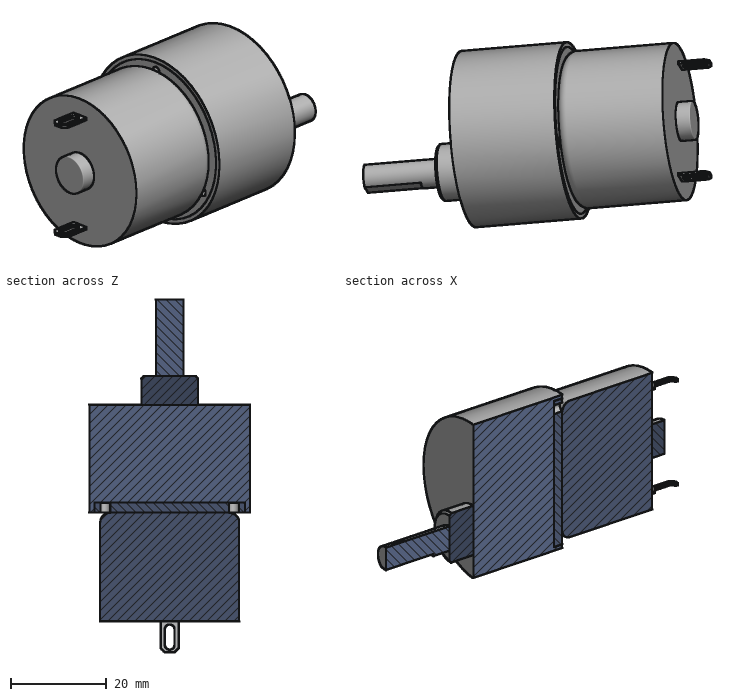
import cadquery as cq
import math


gearbox_diameter = 37.0
gearbox_length = 22.5
cover_diameter = 35.0
cover_thickness = 2.0
cover_hole_diameter = 2.0
cover_hole_circle_diameter = 31.0
cover_hole_count = 3
cover_hole_start_angle = 90.0

shaft_offset = 7.0
boss_diameter = 12.0
boss_length = 6.0
boss_chamfer = 0.5
shaft_diameter = 6.0
shaft_length = 16.0
flat_length = 12.0
flat_depth = 0.5

motor_diameter = 33.0
motor_length = 22.7
motor_fillet = 2.0
cap_diameter = 8.2
cap_length = 3.1
cap_fillet = 0.2

terminal_spacing = 25.0
terminal_width = 3.8
terminal_length = 6.5
terminal_thickness = 0.5
terminal_corner = 0.9
slot_width = 2.0
slot_length = 5.2
slot_inset = 0.7

motor_rear_y = -motor_length
boss_front_y = gearbox_length + boss_length
shaft_front_y = boss_front_y + shaft_length


def cylinder(diameter, start_y, length, center_z=0.0):
    """Solid cylinder along +Y from start_y."""
    plane = cq.Workplane("XZ", origin=(0, start_y, center_z))
    return plane.circle(diameter / 2).extrude(-length)


def make_cover():
    """Disc with a ring of through holes."""
    cover = cylinder(cover_diameter, 0, cover_thickness)
    for index in range(cover_hole_count):
        angle = math.radians(cover_hole_start_angle + index * 360 / cover_hole_count)
        radius = cover_hole_circle_diameter / 2
        hole = cylinder(cover_hole_diameter, 0, cover_thickness)
        cover = cover.cut(hole.translate((radius * math.cos(angle), 0, radius * math.sin(angle))))
    return cover


def make_housing():
    """Gearbox cylinder with a rear recess that holds the cover."""
    housing = cylinder(gearbox_diameter, 0, gearbox_length)
    return housing.cut(cylinder(cover_diameter, 0, cover_thickness))


def make_boss():
    """Round output boss, chamfered at its front edge."""
    boss = cylinder(boss_diameter, gearbox_length, boss_length, -shaft_offset)
    return boss.faces(">Y").chamfer(boss_chamfer)


def make_shaft():
    """Output shaft with a flat along the underside of its front part."""
    shaft = cylinder(shaft_diameter, boss_front_y, shaft_length, -shaft_offset)
    flat = cq.Workplane("XY").box(shaft_diameter, flat_length, flat_depth, centered=(True, False, False))
    flat_start_y = shaft_front_y - flat_length
    return shaft.cut(flat.translate((0, flat_start_y, -shaft_offset - shaft_diameter / 2)))


def make_motor():
    """Motor can, rounded where it meets the gearbox."""
    motor = cylinder(motor_diameter, motor_rear_y, motor_length)
    return motor.faces(">Y").edges().fillet(motor_fillet)


def make_cap():
    """Bearing cap with a slightly rounded rear edge."""
    cap = cylinder(cap_diameter, motor_rear_y - cap_length, cap_length)
    return cap.faces("<Y").edges().fillet(cap_fillet)


def make_terminal(center_z):
    """Flat tab with clipped outer corners and a round-ended slot."""
    bottom_z = center_z - terminal_thickness / 2
    plane = cq.Workplane("XY", origin=(0, motor_rear_y, bottom_z))
    tab = plane.center(0, -terminal_length / 2).rect(terminal_width, terminal_length).extrude(terminal_thickness)
    tab = tab.faces("<Y").edges("|Z").chamfer(terminal_corner)
    slot_center_y = -slot_inset - slot_length / 2
    slot = plane.center(0, slot_center_y).slot2D(slot_length, slot_width, 90).extrude(terminal_thickness)
    return tab.cut(slot)


housing = make_housing()
cover = make_cover()
boss = make_boss()
shaft = make_shaft()
motor = make_motor()
cap = make_cap()
terminals = [make_terminal(side * terminal_spacing / 2) for side in (-1, 1)]

result = cq.Compound.makeCompound([
    housing.val(),
    cover.val(),
    boss.val(),
    shaft.val(),
    motor.val(),
    cap.val(),
    *[terminal.val() for terminal in terminals],
])